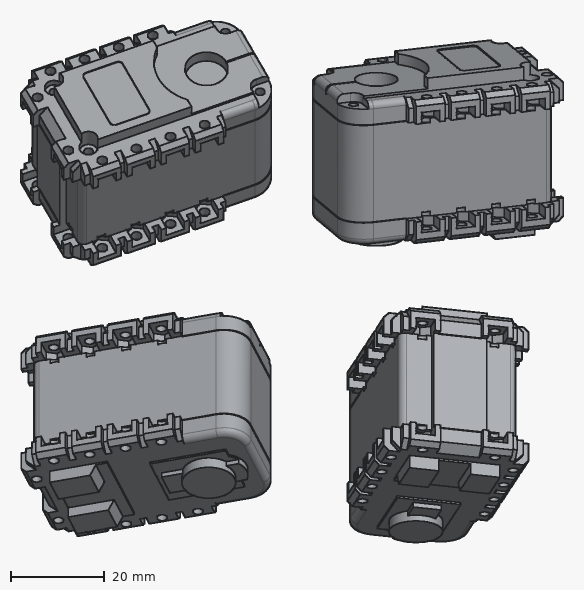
import cadquery as cq
import math


body_half_width = 13
body_back = 11.5
body_front = -35.5
housing_half_height = 16.1
rim_height = 11
back_corner_radius = 6
front_corner_radius = 1.5
edge_radius = 1.5
panel_half_width = 5.9
front_lip = -37.05
parting_width = 0.1
parting_depth = 0.1

rim_back = -2
rim_side_reach = 14.5
rim_corner_half_width = 12.6
rim_corner_front = -35.1
rim_bevel = 1.9
lug_half_width = 16
lug_front = -38.5
lug_width = 6.6
lug_bevel = 1.1
lug_pitch = 8
side_lug_count = 4
first_side_lug = -6.5
front_lug_offset = 8
lug_hole_inset = 2.5
lug_hole_diameter = 2.2
lug_hole_floor = 10
nut_width = 4.2
nut_ceiling = 13.5

deck_half_width = 10
deck_top = 16.6
block_top = 19
block_back = -8
block_front = -32.5
block_arc_radius = 11.25
label_width = 15.75
label_back = -16.55
label_front = -25.7
label_corner_radius = 1
label_depth = 0.25

shaft_pocket_diameter = 9.2
shaft_pocket_depth = 3
slit_width = 0.25
slit_depth = 0.25

screw_offset = 9
screw_hole_diameter = 2
screw_hole_depth = 5
seat_floor = housing_half_height - edge_radius
back_screw_y = 8.5
back_seat_inner_x = 7
back_seat_front = 6.5
back_seat_radius = 2
front_screw_y = -31.7
front_seat_diameter = 4

underside = -housing_half_height
pad_bottom = -16.55
part_bottom = -19
horn_diameter = 11.5
pad_half_width = 7
pad_back = 5.9
pad_front = -11.05
arm_half_width = 3.1
arm_back = 8.5
arm_front = -9.6
arm_bottom = -17.65
connector_plate_back = -19.65
connector_top_back = -22.2
connector_bottom_back = -23.5
connector_slot_width = 7


def box(x_min, x_max, y_min, y_max, z_min, z_max):
    size = (x_max - x_min, y_max - y_min, z_max - z_min)
    return cq.Workplane("XY").box(*size, centered=False).translate((x_min, y_min, z_min))


def cylinder(diameter, x, y, z_min, z_max):
    return cq.Workplane("XY", origin=(x, y, z_min)).circle(diameter / 2).extrude(z_max - z_min)


def make_housing():
    """Box with upright rounded corners, soft back and side edges, and a raised front panel."""
    housing = box(-body_half_width, body_half_width, body_front, body_back,
                  -housing_half_height, housing_half_height)
    housing = housing.edges("|Z and >Y").fillet(back_corner_radius)
    housing = housing.edges("|Z and <Y").fillet(front_corner_radius)
    housing = housing.faces("<Z or >Z").edges().fillet(edge_radius)
    panel = box(-panel_half_width, panel_half_width, front_lip, body_front, -rim_height, rim_height)
    return housing.union(panel)


def make_parting_groove():
    """Hairline groove just below the upper rim underside, around the back and across the front panel."""
    z_min = rim_height - parting_width
    outer = box(-body_half_width, body_half_width, rim_back, body_back, z_min, rim_height)
    inner_half_width = body_half_width - parting_depth
    core = box(-inner_half_width, inner_half_width, rim_back, body_back - parting_depth, z_min, rim_height)
    core = core.edges("|Z and >Y").fillet(back_corner_radius - parting_depth)
    gap_half_width = front_lug_offset - lug_width / 2
    front = box(-gap_half_width, gap_half_width, front_lip, front_lip + parting_depth, z_min, rim_height)
    return outer.cut(core).union(front)


def beveled_bar(half_width, bevel, y_min, y_max):
    """Bar along Y, from the rim underside to the housing top, with both upper edges beveled."""
    bar = box(-half_width, half_width, y_min, y_max, rim_height, housing_half_height)
    return bar.edges("|Y and >Z").chamfer(bevel)


def front_bar(x_center, width, front, bevel):
    """Block reaching to the front, with its upper front edge beveled."""
    bar = box(x_center - width / 2, x_center + width / 2, front, body_front + edge_radius,
              rim_height, housing_half_height)
    return bar.edges("|X and >Z and <Y").chamfer(bevel)


def lug_cutter(x, y, outward_angle):
    """Screw hole plus a nut channel, open outward and ending in two faces of a hexagon."""
    half = nut_width / 2
    shoulder = half * math.tan(math.radians(30))
    corner = half / math.cos(math.radians(30))
    channel = (
        cq.Workplane("XY")
        .polyline([(lug_hole_inset, -half), (lug_hole_inset, half), (-shoulder, half),
                   (-corner, 0), (-shoulder, -half)])
        .close()
        .extrude(nut_ceiling - rim_height)
        .rotate((0, 0, 0), (0, 0, 1), outward_angle)
        .translate((x, y, rim_height))
    )
    return channel.union(cylinder(lug_hole_diameter, x, y, lug_hole_floor, housing_half_height))


side_lug_positions = [first_side_lug - i * lug_pitch for i in range(side_lug_count)]
hole_x = lug_half_width - lug_hole_inset
hole_y = lug_front + lug_hole_inset
front_lug_positions = (-front_lug_offset, front_lug_offset)


def make_rim():
    """Upper rim with side and front lugs, before the lug holes are cut."""
    rim = beveled_bar(rim_side_reach, rim_bevel, rim_corner_front, rim_back)
    rim = rim.union(front_bar(0, 2 * rim_corner_half_width, front_lip, rim_bevel))
    for y in side_lug_positions:
        rim = rim.union(beveled_bar(lug_half_width, lug_bevel, y - lug_width / 2, y + lug_width / 2))
    for x in front_lug_positions:
        rim = rim.union(front_bar(x, lug_width, lug_front, lug_bevel))
    return rim


def make_lug_cuts():
    """All screw holes and nut channels of the upper rim."""
    cuts = cq.Workplane("XY")
    for y in side_lug_positions:
        cuts = cuts.add(lug_cutter(hole_x, y, 0))
        cuts = cuts.add(lug_cutter(-hole_x, y, 180))
    for x in front_lug_positions:
        cuts = cuts.add(lug_cutter(x, hole_y, -90))
    return cuts.combine()


def make_top():
    """Deck with a rounded back edge, and the block cut back around the shaft."""
    deck = box(-deck_half_width, deck_half_width, block_back, body_back, seat_floor, deck_top)
    deck = deck.edges("|X and >Y and >Z").fillet(edge_radius)
    block = box(-deck_half_width, deck_half_width, block_front, block_back, seat_floor, block_top)
    block = block.cut(cylinder(2 * block_arc_radius, 0, 0, deck_top, block_top))
    label = box(-label_width / 2, label_width / 2, label_front, label_back,
                block_top - label_depth, block_top)
    label = label.edges("|Z").fillet(label_corner_radius)
    return deck.union(block.cut(label))


def cut_screw_seats(part):
    """Lower the back corners, counterbore the front ones, and drill all four."""
    for side in (-1, 1):
        x = side * screw_offset
        seat_x = sorted((side * back_seat_inner_x, side * lug_half_width))
        seat = box(*seat_x, back_seat_front, body_back, seat_floor, block_top)
        inner_edge = "|Z and <Y and " + ("<X" if side > 0 else ">X")
        part = part.cut(seat.edges(inner_edge).fillet(back_seat_radius))
        part = part.cut(cylinder(front_seat_diameter, x, front_screw_y, seat_floor, block_top))
        for y in (back_screw_y, front_screw_y):
            part = part.cut(cylinder(screw_hole_diameter, x, y, seat_floor - screw_hole_depth, seat_floor))
    return part


def cut_shaft_pocket(part):
    """Round pocket on the shaft axis, with a shallow slit that follows the deck over its back edge."""
    pocket = cylinder(shaft_pocket_diameter, 0, 0, deck_top - shaft_pocket_depth, deck_top)
    slit_x = (-slit_width / 2, slit_width / 2)
    slit_bottom = seat_floor
    slit = box(*slit_x, 0, body_back, slit_bottom, deck_top)
    slit_core = box(*slit_x, 0, body_back - slit_depth, slit_bottom, deck_top - slit_depth)
    slit_core = slit_core.edges("|X and >Y and >Z").fillet(edge_radius - slit_depth)
    slit = slit.cut(slit_core)
    return part.cut(pocket).cut(slit)


def make_horn():
    """Horn on the shaft axis, with its pad and a cross arm rounded at the back."""
    horn_radius = horn_diameter / 2
    back_center = arm_back - horn_radius
    horn = cylinder(horn_diameter, 0, 0, part_bottom, underside)
    horn = horn.union(box(-pad_half_width, pad_half_width, pad_front, pad_back, pad_bottom, underside))
    horn = horn.union(cylinder(horn_diameter, 0, back_center, pad_bottom, underside))
    arm = box(-arm_half_width, arm_half_width, arm_front, back_center, arm_bottom, underside)
    arm_end = box(-arm_half_width, arm_half_width, back_center, arm_back, arm_bottom, underside)
    arm_end = arm_end.intersect(cylinder(horn_diameter, 0, back_center, arm_bottom, underside))
    return horn.union(arm).union(arm_end)


def make_connector_block():
    """Block with a sloped back on a thin plate, split by a channel along Y."""
    block = (
        cq.Workplane("YZ", origin=(-deck_half_width, 0, 0))
        .polyline([(block_front, underside), (connector_plate_back, underside),
                   (connector_plate_back, pad_bottom), (connector_top_back, pad_bottom),
                   (connector_bottom_back, part_bottom), (block_front, part_bottom)])
        .close()
        .extrude(2 * deck_half_width)
    )
    channel = box(-connector_slot_width / 2, connector_slot_width / 2, block_front,
                  connector_plate_back, part_bottom, pad_bottom)
    return block.cut(channel)


rim = make_rim()
lug_cuts = make_lug_cuts()
part = make_housing().union(rim).union(rim.mirror("XY"))
part = part.cut(lug_cuts).cut(lug_cuts.mirror("XY"))
parting_groove = make_parting_groove()
part = part.cut(parting_groove).cut(parting_groove.mirror("XY"))
part = part.union(make_top())
part = cut_screw_seats(part)
part = cut_shaft_pocket(part)
result = part.union(make_horn()).union(make_connector_block())